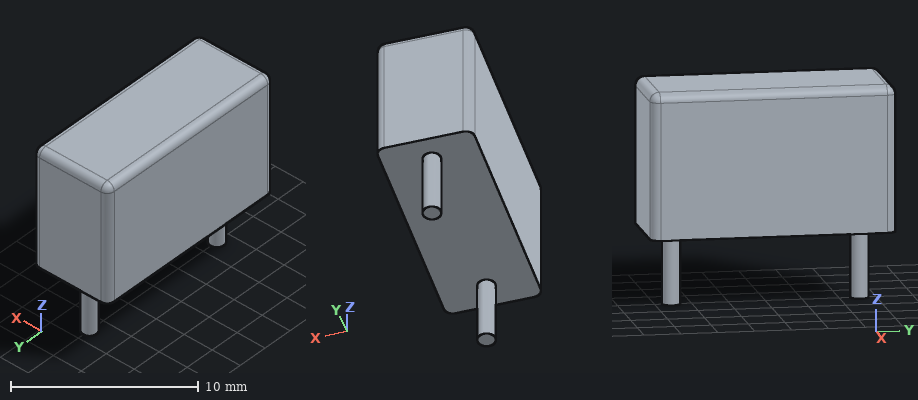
import cadquery as cq

body_width = 5.4
body_length = 13.3
body_height = 8.0
edge_radius = 0.5
pin_diameter = 1.0
pin_length = 3.99
pin_spacing = 10.2


def make_body():
    """Body resting on Z = 0, rounded everywhere except around its flat base."""
    block = cq.Workplane("XY").box(body_width, body_length, body_height, centered=(True, True, False))
    return block.edges("|Z or >Z").fillet(edge_radius)


def make_pins():
    """Pins hanging straight down from the base of the body."""
    return (
        cq.Workplane("XY")
        .pushPoints([(0, -pin_spacing / 2), (0, pin_spacing / 2)])
        .circle(pin_diameter / 2)
        .extrude(-pin_length)
    )


result = make_body().union(make_pins())